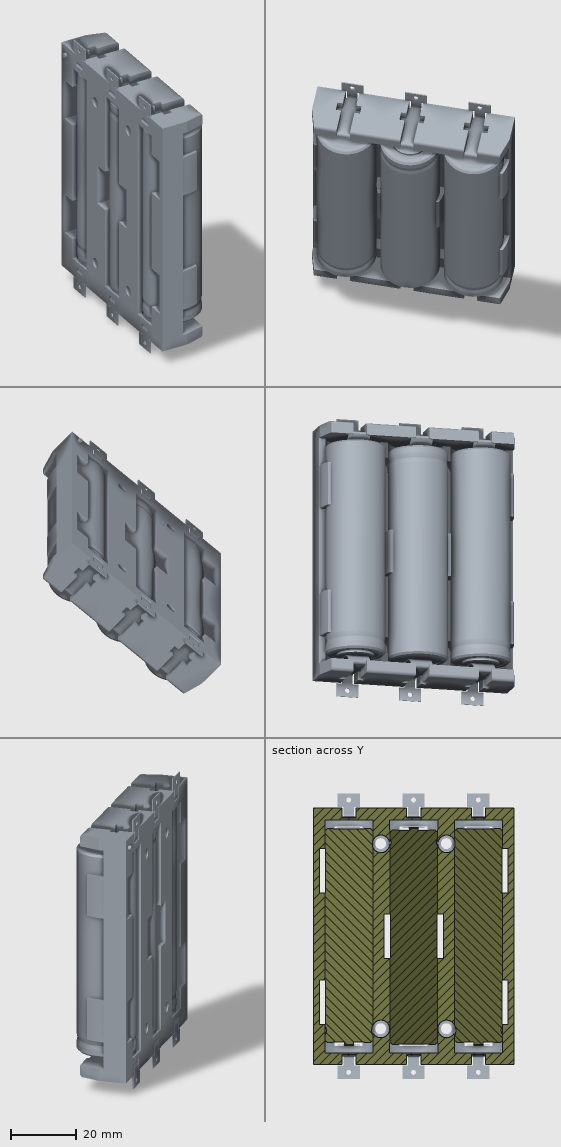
import cadquery as cq
import math


cell_pitch = 19.8
cell_radius = 9.2
cell_y = 0.7
cell_half_length = 33.1
cell_chamfer = 0.6
end_recess_radius = 7.3
end_recess_depth = 0.2
shoulder_drop = 0.5
button_radius = 5.8
crimp_z = 28.7
crimp_half_width = 1.5
crimp_inner_half_width = 0.9
crimp_edge_depth = 0.1
crimp_depth = 0.3

half_width = 30.7
half_length = 39.3
mount_face_y = -9.0
side_wall_y = -1.8
end_wall_y = 6.3
end_wall_inner_z = 35.5
slope_start_y = -0.35
slope_inset = 1.8
end_round = 1.0

window_width = 8.55
window_half_length = 33.5
arm_cutout_half_width = 9.0
mount_hole_x = 10.0
mount_hole_z = 28.3
mount_hole_diameter = 3.3
counterbore_diameter = 5.2
counterbore_floor = 1.05
pin_x = -27.8
pin_z = 36.2
pin_diameter = 1.6
pin_height = 0.9

arm_length = 13.45
outer_arm_z = 20.1
arm_top_y = 3.9
arm_root_offset = 10.65
arm_outer_radius = 15.7

sheet = 0.35
tab_width = 6.8
tab_bottom_z = 39.55
tab_top_z = 43.65
tab_hole_z = 41.6
tab_hole_diameter = 1.5
neck_width = 3.2
neck_end_y = -5.7
strip_width = 4.1
strip_z = 36.2
tab_bend_radius = 1.05
wing_width = 6.6
wing_bottom_y = -4.1
wing_top_y = -1.4
crest_y = 5.8
crest_radius = 0.8
spring_flat_y = 0.9
spring_end_y = -5.2

slot_width = 4.2
wing_pocket_width = 7.5
slot_wall_y = 4.9
slot_relief_depth = 0.7

cell_columns = [-cell_pitch, 0, cell_pitch]
ends = [1, -1]


def box(x_range, y_range, z_range):
    """Box between two limits along each axis."""
    (x0, x1), (y0, y1), (z0, z1) = x_range, y_range, z_range
    return cq.Workplane("XY").box(x1 - x0, y1 - y0, z1 - z0, centered=False).translate((x0, y0, z0))


def centred_box(width, y_range, z_range):
    """Box centred on X = 0."""
    return box((-width / 2, width / 2), y_range, z_range)


def at_end(shape, end):
    """Shape modelled at the +Z end, mirrored to the -Z end when end is -1."""
    return shape if end > 0 else shape.mirror("XY")


def make_cell(column_x, positive_end):
    """Turned cell with a button and a crimp groove at its positive end."""
    shoulder_z = cell_half_length - shoulder_drop
    edge_radius = cell_radius - cell_chamfer
    profile = [
        (0, -cell_half_length + end_recess_depth),
        (end_recess_radius, -cell_half_length + end_recess_depth),
        (end_recess_radius, -cell_half_length),
        (edge_radius, -cell_half_length),
        (cell_radius, -cell_half_length + cell_chamfer),
        (cell_radius, crimp_z - crimp_half_width),
        (cell_radius - crimp_edge_depth, crimp_z - crimp_inner_half_width),
        (cell_radius - crimp_depth, crimp_z),
        (cell_radius - crimp_edge_depth, crimp_z + crimp_inner_half_width),
        (cell_radius, crimp_z + crimp_half_width),
        (cell_radius, shoulder_z - cell_chamfer),
        (edge_radius, shoulder_z),
        (end_recess_radius, shoulder_z),
        (end_recess_radius, shoulder_z - end_recess_depth),
        (button_radius, shoulder_z - end_recess_depth),
        (button_radius, cell_half_length),
        (0, cell_half_length),
    ]
    cell = cq.Workplane("XZ").polyline(profile).close().revolve(360, (0, 0), (0, 1))
    return at_end(cell, positive_end).translate((column_x, cell_y, 0))


def contact_profile():
    """Side section of the bent sheet, from the tab over the end wall to the spring."""
    outer_z = strip_z + sheet
    tab_inner_y = mount_face_y + sheet
    bend_z = strip_z + tab_bend_radius
    bend_y = mount_face_y + tab_bend_radius
    diagonal = math.sqrt(0.5)
    inner_bend_radius = tab_bend_radius - sheet

    crest_z = outer_z - crest_radius
    rise = crest_z - cell_half_length
    run = crest_y - spring_flat_y
    spring_radius = (run**2 + rise**2) / (2 * rise)
    spring_centre_z = cell_half_length + spring_radius
    spring_inner_radius = spring_radius - sheet
    crest_inner_y = spring_flat_y + math.sqrt(spring_inner_radius**2 - (spring_centre_z - crest_z) ** 2)
    crest_start_y = crest_y - crest_radius
    half_sweep = math.atan2(run, spring_centre_z - crest_z) / 2

    def spring_middle(radius):
        return (
            spring_flat_y + radius * math.sin(half_sweep),
            spring_centre_z - radius * math.cos(half_sweep),
        )

    return (
        cq.Workplane("YZ")
        .moveTo(mount_face_y, tab_bottom_z)
        .lineTo(mount_face_y, bend_z)
        .threePointArc(
            (bend_y - tab_bend_radius * diagonal, bend_z - tab_bend_radius * diagonal),
            (bend_y, strip_z),
        )
        .lineTo(crest_start_y, strip_z)
        .lineTo(crest_inner_y, crest_z)
        .threePointArc(spring_middle(spring_inner_radius), (spring_flat_y, cell_half_length + sheet))
        .lineTo(spring_end_y, cell_half_length + sheet)
        .lineTo(spring_end_y, cell_half_length)
        .lineTo(spring_flat_y, cell_half_length)
        .threePointArc(spring_middle(spring_radius), (crest_y, crest_z))
        .threePointArc(
            (crest_start_y + crest_radius * diagonal, crest_z + crest_radius * diagonal),
            (crest_start_y, outer_z),
        )
        .lineTo(bend_y, outer_z)
        .threePointArc(
            (bend_y - inner_bend_radius * diagonal, bend_z - inner_bend_radius * diagonal),
            (tab_inner_y, bend_z),
        )
        .lineTo(tab_inner_y, tab_bottom_z)
        .close()
    )


def make_contact(column_x, end):
    """One sheet-metal contact: solder tab, neck, strip with wings, and spring."""
    def sheet_part(width, y_range, z_range):
        bent_sheet = contact_profile().extrude(width / 2, both=True)
        return bent_sheet.intersect(centred_box(width, y_range, z_range))

    full_z = (0, tab_top_z)
    neck = sheet_part(neck_width, (mount_face_y, neck_end_y), full_z)
    strip = sheet_part(strip_width, (neck_end_y, end_wall_y), full_z)
    spring = sheet_part(tab_width, (spring_end_y, end_wall_y), (0, end_wall_inner_z))
    wings = centred_box(wing_width, (wing_bottom_y, wing_top_y), (strip_z, strip_z + sheet))
    tab = centred_box(tab_width, (mount_face_y, mount_face_y + sheet), (tab_bottom_z, tab_top_z))
    tab_hole = (
        cq.Workplane("XZ", origin=(0, mount_face_y, tab_hole_z))
        .circle(tab_hole_diameter / 2)
        .extrude(-sheet)
    )
    contact = neck.union(strip).union(spring).union(wings).union(tab.cut(tab_hole))
    return at_end(contact, end).translate((column_x, 0, 0))


def make_base():
    """Floor block with an end wall at each end, sloped at its sides and rounded at its outer edge."""
    section = [
        (-half_width, mount_face_y),
        (half_width, mount_face_y),
        (half_width, slope_start_y),
        (half_width - slope_inset, end_wall_y),
        (-half_width + slope_inset, end_wall_y),
        (-half_width, slope_start_y),
    ]
    block = cq.Workplane("XY").polyline(section).close().extrude(half_length, both=True)
    side_profile = [
        (mount_face_y, -half_length),
        (end_wall_y, -half_length),
        (end_wall_y, -end_wall_inner_z),
        (side_wall_y, -end_wall_inner_z),
        (side_wall_y, end_wall_inner_z),
        (end_wall_y, end_wall_inner_z),
        (end_wall_y, half_length),
        (mount_face_y, half_length),
    ]
    side_prism = cq.Workplane("YZ").polyline(side_profile).close().extrude(half_width, both=True)
    for end in ends:
        outer_edge = cq.selectors.NearestToPointSelector((0, end_wall_y, end * half_length))
        side_prism = side_prism.edges(outer_edge).fillet(end_round)
    return block.intersect(side_prism)


def make_arm(column_x, side, middle_z):
    """Curved arm beside a cell; the cell bore trims its inner face."""
    height = arm_top_y - side_wall_y

    def outer_offset(rise):
        drop = arm_outer_radius - math.sqrt(arm_outer_radius**2 - rise**2)
        return column_x + side * (arm_root_offset - drop)

    inner_x = column_x + side * math.sqrt(cell_radius**2 - (arm_top_y - cell_y) ** 2)
    return (
        cq.Workplane("XY", origin=(0, 0, middle_z))
        .moveTo(inner_x, side_wall_y)
        .lineTo(outer_offset(0), side_wall_y)
        .threePointArc((outer_offset(height / 2), side_wall_y + height / 2), (outer_offset(height), arm_top_y))
        .lineTo(inner_x, arm_top_y)
        .close()
        .extrude(arm_length / 2, both=True)
    )


def make_arm_cutout(column_x, side, middle_z):
    """Opening in the floor below an arm."""
    edges = sorted((column_x, column_x + side * arm_cutout_half_width))
    z_range = (middle_z - arm_length / 2, middle_z + arm_length / 2)
    return box(edges, (mount_face_y, side_wall_y), z_range)


def make_cell_bay(column_x):
    """Round bore for one cell with a window through the floor below it."""
    bore = cq.Workplane("XY").circle(cell_radius).extrude(end_wall_inner_z, both=True)
    window = centred_box(window_width, (mount_face_y, 0), (-window_half_length, window_half_length))
    return bore.translate((0, cell_y, 0)).union(window).translate((column_x, 0, 0))


def make_contact_slot(column_x, end):
    """Notch in an end wall for a contact, with wing pockets and a relief behind the tab bend."""
    slot = centred_box(slot_width, (mount_face_y, end_wall_y), (strip_z, half_length))
    pockets = centred_box(wing_pocket_width, (wing_bottom_y, wing_top_y), (strip_z, half_length))
    wall_top = centred_box(slot_width, (slot_wall_y, end_wall_y), (end_wall_inner_z, half_length))
    relief = (
        cq.Workplane("YZ")
        .polyline([
            (mount_face_y, strip_z - slot_relief_depth),
            (mount_face_y + slot_relief_depth, strip_z),
            (mount_face_y, strip_z),
        ])
        .close()
        .extrude(slot_width / 2, both=True)
    )
    cutter = slot.union(pockets).union(wall_top).union(relief)
    return at_end(cutter, end).translate((column_x, 0, 0))


def make_mount_holes():
    """Four holes through the floor, counterbored from the cell side."""
    def hole_set(diameter, start_y):
        return (
            cq.Workplane("XZ", origin=(0, start_y, 0))
            .rect(2 * mount_hole_x, 2 * mount_hole_z, forConstruction=True)
            .vertices()
            .circle(diameter / 2)
            .extrude(start_y - end_wall_y)
        )

    holes = hole_set(mount_hole_diameter, mount_face_y)
    return holes.union(hole_set(counterbore_diameter, mount_face_y + counterbore_floor))


def make_housing():
    """Holder with its arms, cell bays, contact slots, mounting holes and locating pin."""
    arm_places = [(side * cell_pitch, side, z) for side in (-1, 1) for z in (-outer_arm_z, outer_arm_z)]
    arm_places += [(0, side, 0) for side in (-1, 1)]

    housing = make_base()
    for place in arm_places:
        housing = housing.union(make_arm(*place))
    for place in arm_places:
        housing = housing.cut(make_arm_cutout(*place))
    for column_x in cell_columns:
        housing = housing.cut(make_cell_bay(column_x))
        for end in ends:
            housing = housing.cut(make_contact_slot(column_x, end))

    pin = (
        cq.Workplane("XZ", origin=(pin_x, mount_face_y, pin_z))
        .circle(pin_diameter / 2)
        .extrude(pin_height)
    )
    return housing.cut(make_mount_holes()).union(pin)


housing = make_housing()

cells = [make_cell(column_x, 1 if column_x == 0 else -1) for column_x in cell_columns]
contacts = [make_contact(column_x, end) for column_x in cell_columns for end in ends]

result = cq.Compound.makeCompound([
    housing.val(),
    *[cell.val() for cell in cells],
    *[contact.val() for contact in contacts],
])